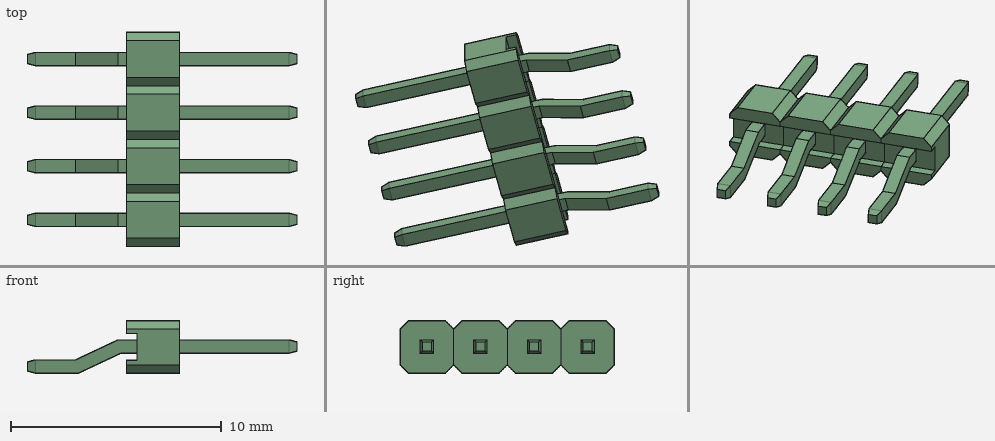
import cadquery as cq
import math


POSITIONS = 4
ROW_LENGTH = 10.16
PITCH = ROW_LENGTH / POSITIONS

HOUSING_HEIGHT = 2.5
HOUSING_BACK = -1.7
HOUSING_FRONT = 0.82
HOUSING_LENGTH = HOUSING_FRONT - HOUSING_BACK
HOUSING_CHAMFER = 0.4
CHANNEL_DEPTH = 0.5
CHANNEL_HEIGHT = 1.25

PIN_LENGTH = 12.8
PIN_SIZE = 0.64
PIN_BACK = -PIN_LENGTH / 2
PIN_FRONT = PIN_LENGTH / 2
FOOT_TOP = PIN_SIZE
FOOT_STEP = 0.95
PIN_TOP = FOOT_TOP + FOOT_STEP
PIN_AXIS_HEIGHT = PIN_TOP - PIN_SIZE / 2
FOOT_BEND = -4.11
UPPER_BEND = -2.1
TIP_LENGTH = 0.38
TIP_INSET = 0.1
TIP_END_SIZE = PIN_SIZE - 2 * TIP_INSET

BEND_ANGLE = math.atan2(FOOT_STEP, UPPER_BEND - FOOT_BEND)
MITRE_SHIFT = PIN_SIZE * math.tan(BEND_ANGLE / 2)


def make_housing(y):
    """Block with chamfered long edges, an open channel at the back and a square pin hole."""
    block = (
        cq.Workplane("XY")
        .box(HOUSING_LENGTH, PITCH, HOUSING_HEIGHT, centered=(False, True, False))
        .edges("|X")
        .chamfer(HOUSING_CHAMFER)
        .translate((HOUSING_BACK, y, 0))
    )
    channel = (
        cq.Workplane("XY")
        .box(CHANNEL_DEPTH, PITCH, CHANNEL_HEIGHT, centered=(False, True, True))
        .translate((HOUSING_BACK, y, HOUSING_HEIGHT / 2))
    )
    pin_hole = (
        cq.Workplane("XY")
        .box(HOUSING_LENGTH, PIN_SIZE, PIN_SIZE, centered=(False, True, True))
        .translate((HOUSING_BACK, y, PIN_AXIS_HEIGHT))
    )
    return block.cut(channel).cut(pin_hole)


def make_tip(x, y, top, direction):
    """Tapered square end starting at x and narrowing along +X (1) or -X (-1)."""
    base_plane = cq.Plane(
        origin=(x, y, top - PIN_SIZE / 2), xDir=(0, 1, 0), normal=(direction, 0, 0)
    )
    return (
        cq.Workplane(base_plane)
        .rect(PIN_SIZE, PIN_SIZE)
        .workplane(offset=TIP_LENGTH)
        .rect(TIP_END_SIZE, TIP_END_SIZE)
        .loft(ruled=True)
    )


def make_pin(y):
    """Square pin stepping down to a foot at the back, with a tapered tip at each end."""
    back_shoulder = PIN_BACK + TIP_LENGTH
    front_shoulder = PIN_FRONT - TIP_LENGTH
    side_profile = [
        (back_shoulder, FOOT_TOP),
        (FOOT_BEND, FOOT_TOP),
        (UPPER_BEND, PIN_TOP),
        (front_shoulder, PIN_TOP),
        (front_shoulder, PIN_TOP - PIN_SIZE),
        (UPPER_BEND + MITRE_SHIFT, PIN_TOP - PIN_SIZE),
        (FOOT_BEND + MITRE_SHIFT, FOOT_TOP - PIN_SIZE),
        (back_shoulder, FOOT_TOP - PIN_SIZE),
    ]
    shank = (
        cq.Workplane("XZ")
        .polyline(side_profile)
        .close()
        .extrude(PIN_SIZE / 2, both=True)
        .translate((0, y, 0))
    )
    foot_tip = make_tip(back_shoulder, y, FOOT_TOP, -1)
    front_tip = make_tip(front_shoulder, y, PIN_TOP, 1)
    return shank.union(foot_tip).union(front_tip)


row_positions = [(i - (POSITIONS - 1) / 2) * PITCH for i in range(POSITIONS)]
housings = [make_housing(y).val() for y in row_positions]
pins = [make_pin(y).val() for y in row_positions]

result = cq.Compound.makeCompound([*housings, *pins])